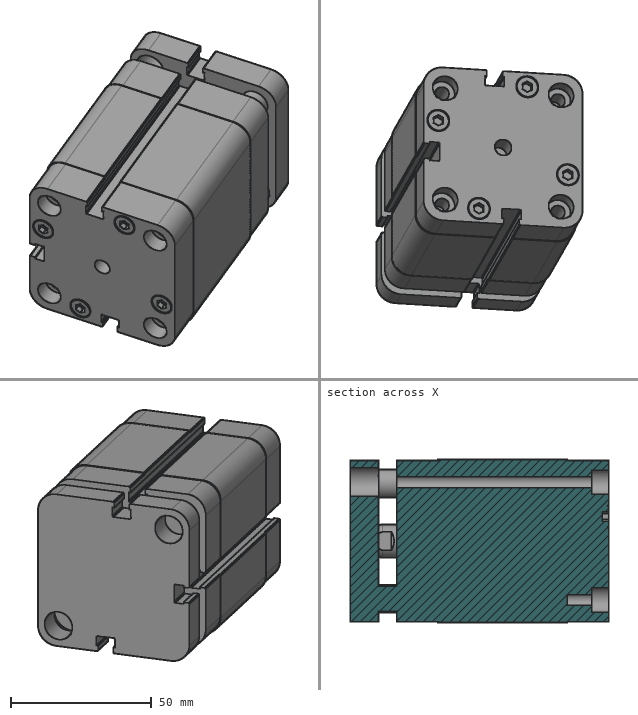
import cadquery as cq
import math


total_length = 92.0
cap_length = 14.7
tube_length = 46.1
rod_gap = 6.35
body_length = 2 * cap_length + tube_length
plate_start = body_length + rod_gap
plate_thickness = total_length - plate_start

tube_side = 58.1
cap_side = 57.6
corner_radius = 7.0

slot_offset = 3.0
slot_mouth_width = 5.7
slot_inner_width = 7.0
slot_mouth_depth = 2.5
slot_depth = 6.1
slot_lip_height = tube_side / 2 - slot_mouth_depth
slot_floor_height = tube_side / 2 - slot_depth
slot_corner_chamfer = 0.4

mount_offset = 21.0
mount_bore_diameter = 9.0
mount_bore_depth = 6.0
mount_hole_diameter = 5.0
plate_hole_diameter = 10.5

guide_offset = 20.5
guide_diameter = 10.0
piston_diameter = 12.0
piston_chamfer_radial = 0.3
piston_chamfer_length = 1.2
flat_width = 10.0
flat_length = 4.5

port_diameter = 6.0
port_depth = 9.2
screw_far_offset = 23.5
screw_near_offset = 8.7
screw_bore_diameter = 8.0
screw_head_diameter = 7.5
screw_ring_depth = 0.3
socket_flats = 3.5
socket_depth = 2.3

guide_corners = [(1, 1), (-1, -1)]
open_corners = [(-1, 1), (1, -1)]


def section_plane(y):
    """Workplane across the cylinder at Y = y, with local axes along +X and +Z, facing -Y."""
    return cq.Workplane("XZ", origin=(0, y, 0))


def rod(diameter, start, length, x=0.0, z=0.0):
    """Round bar running toward +Y."""
    return section_plane(start).center(x, z).circle(diameter / 2).extrude(-length)


def slot_cutter(side, start, length):
    """Slot running along Y in the +Z side of a block, chamfered at the mouth and floor corners."""
    top = side / 2
    half_mouth = slot_mouth_width / 2
    half_inner = slot_inner_width / 2
    right_side = [
        (half_inner - slot_corner_chamfer, slot_floor_height),
        (half_inner, slot_floor_height + slot_corner_chamfer),
        (half_inner, slot_lip_height),
        (half_mouth, slot_lip_height),
        (half_mouth, top - slot_corner_chamfer),
        (half_mouth + slot_corner_chamfer, top),
    ]
    left_side = [(-x, z) for x, z in reversed(right_side)]
    outline = section_plane(start).polyline(right_side + left_side).close()
    return outline.extrude(-length).translate((-slot_offset, 0, 0))


def slotted_block(side, start, length):
    """Square block with rounded edges and slots in its top, left and bottom sides."""
    block = section_plane(start).rect(side, side).extrude(-length).edges("|Y").fillet(corner_radius)
    slot = slot_cutter(side, start, length)
    for quarter_turn in range(3):
        block = block.cut(slot.rotate((0, 0, 0), (0, 1, 0), -90 * quarter_turn))
    return block


def piston_rod():
    """Rod with a tapered far end and two wrench flats that run out on 45 degree slopes."""
    radius = piston_diameter / 2
    tip_radius = radius - piston_chamfer_radial
    profile = [
        (0, body_length),
        (radius, body_length),
        (radius, plate_start - piston_chamfer_length),
        (tip_radius, plate_start),
        (0, plate_start),
    ]
    bar = cq.Workplane("XY").polyline(profile).close().revolve(360, (0, 0, 0), (0, 1, 0))
    half_flat = flat_width / 2
    flat_end = plate_start - flat_length
    flat_outline = [
        (half_flat, plate_start),
        (half_flat, flat_end),
        (radius, flat_end - (radius - half_flat)),
        (radius, plate_start),
    ]
    flat = cq.Workplane("XY").polyline(flat_outline).close().extrude(radius, both=True)
    return bar.cut(flat).cut(flat.mirror("YZ"))


def mounting_hole(corner, small_hole_depth):
    """Stepped hole from the rear face in one corner."""
    x, z = (sign * mount_offset for sign in corner)
    bore = rod(mount_bore_diameter, 0, mount_bore_depth, x, z)
    return bore.union(rod(mount_hole_diameter, 0, small_hole_depth, x, z))


def screw_recess(x, z):
    """Ring groove around a flush screw head, and its hexagon socket."""
    ring = rod(screw_bore_diameter, 0, screw_ring_depth, x, z)
    ring = ring.cut(rod(screw_head_diameter, 0, screw_ring_depth, x, z))
    socket_corners = socket_flats / math.cos(math.pi / 6)
    socket = cq.Workplane("XZ").polygon(6, socket_corners).extrude(-socket_depth)
    socket = socket.rotate((0, 0, 0), (0, 1, 0), 30).translate((x, 0, z))
    return ring.union(socket)


result = slotted_block(cap_side, 0, cap_length)
result = result.union(slotted_block(tube_side, cap_length, tube_length))
result = result.union(slotted_block(cap_side, cap_length + tube_length, cap_length))
result = result.union(slotted_block(cap_side, plate_start, plate_thickness))

result = result.union(piston_rod())
for sign_x, sign_z in guide_corners:
    guide = rod(guide_diameter, body_length, rod_gap, sign_x * guide_offset, sign_z * guide_offset)
    result = result.union(guide)

for corner in guide_corners:
    result = result.cut(mounting_hole(corner, cap_length))
for corner in open_corners:
    result = result.cut(mounting_hole(corner, body_length))
    hole_x, hole_z = (sign * mount_offset for sign in corner)
    result = result.cut(rod(plate_hole_diameter, plate_start, plate_thickness, hole_x, hole_z))

result = result.cut(rod(port_diameter, 0, port_depth))
screw_x, screw_z = screw_near_offset, screw_far_offset
for _ in range(4):
    result = result.cut(screw_recess(screw_x, screw_z))
    screw_x, screw_z = screw_z, -screw_x